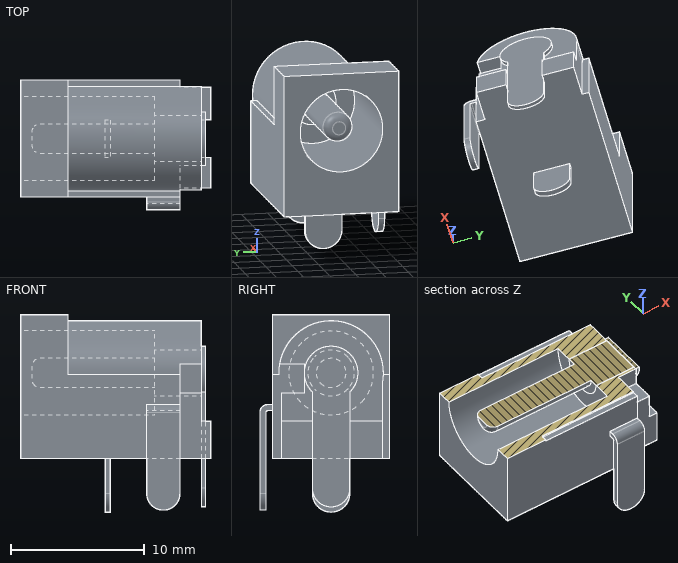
import cadquery as cq

body_width = 8.75
body_height = 10.75
flange_length = 3.55
block_end = 11.9
block_top = 6.3
barrel_diameter = 7.8
barrel_end = 13.5
axis_height = 6.4

bore_diameter = 6.3
bore_depth = 10.0

rear_side_near = -3.7
rear_side_far = 3.85
tab_end = 14.2
tab_top = 2.8
notch_bottom = 4.9
notch_top = 7.05
notch_wall = -2.0

pin_diameter = 2.2
pin_collar_diameter = 3.45
pin_tip = 0.85
pin_tip_round = 0.6

leg_width = 2.8
rear_leg_thickness = 0.3
rear_leg_bottom = -3.6
rear_disc_diameter = 4.0
middle_leg_front = 6.3
middle_leg_thickness = 0.4
middle_leg_bottom = -4.0
side_leg_width = 2.5
side_leg_thickness = 0.47
side_leg_reach = 0.95
side_leg_top = 4.05
side_leg_bottom = -3.85
side_bend_radius = 0.6


def box(x_range, y_range, z_range):
    """Box spanning the given (low, high) limits along each axis."""
    size = [high - low for low, high in (x_range, y_range, z_range)]
    corner = (x_range[0], y_range[0], z_range[0])
    return cq.Workplane("XY").box(*size, centered=False).translate(corner)


def axial_cylinder(diameter, start, end):
    """Cylinder on the jack axis between two X positions."""
    plane = cq.Workplane("YZ", origin=(start, 0, axis_height))
    return plane.circle(diameter / 2).extrude(end - start)


def round_ended_leg(front, thickness, bottom, top):
    """Flat leg across the jack, centered on Y = 0, with a full round lower end."""
    radius = leg_width / 2
    return (
        cq.Workplane("YZ", origin=(front, 0, 0))
        .moveTo(-radius, top)
        .lineTo(-radius, bottom + radius)
        .threePointArc((0, bottom), (radius, bottom + radius))
        .lineTo(radius, top)
        .close()
        .extrude(thickness)
    )


def make_housing():
    half_width = body_width / 2
    sides = (-half_width, half_width)
    rear_sides = (rear_side_near, rear_side_far)
    flange = box((0, flange_length), sides, (0, body_height))
    block = box((0, block_end), sides, (0, block_top))
    rear_section = box((block_end, barrel_end), rear_sides, (0, axis_height))
    tabs = box((barrel_end, tab_end), rear_sides, (0, tab_top))
    barrel = axial_cylinder(barrel_diameter, 0, barrel_end)

    terminal_slot = box((barrel_end, tab_end), (-leg_width / 2, leg_width / 2), (0, tab_top))
    side_notch = box((block_end, barrel_end), (-half_width, notch_wall), (notch_bottom, notch_top))
    bore = axial_cylinder(bore_diameter, 0, bore_depth)
    collar_hole = axial_cylinder(pin_collar_diameter, bore_depth, barrel_end)

    solid = flange.union(block).union(rear_section).union(tabs).union(barrel)
    return solid.cut(terminal_slot).cut(side_notch).cut(bore).cut(collar_hole)


def make_pin():
    """Contact pin: shank with a rounded tip, and a collar seated in the bore floor."""
    shank = axial_cylinder(pin_diameter, pin_tip, bore_depth).faces("<X").edges().fillet(pin_tip_round)
    collar = axial_cylinder(pin_collar_diameter, bore_depth, barrel_end)
    return shank.union(collar)


def make_rear_terminal():
    """Disc against the end of the barrel with a leg running down between the tabs."""
    disc = axial_cylinder(rear_disc_diameter, barrel_end, barrel_end + rear_leg_thickness)
    leg = round_ended_leg(barrel_end, rear_leg_thickness, rear_leg_bottom, axis_height)
    return disc.union(leg)


def make_middle_terminal():
    return round_ended_leg(middle_leg_front, middle_leg_thickness, middle_leg_bottom, 0)


def make_side_terminal():
    """Bent strip leaving the near side of the block and turning down, with a full round end."""
    root = -body_width / 2
    outer = root - side_leg_reach
    inner = outer + side_leg_thickness
    underside = side_leg_top - side_leg_thickness
    bend_center = (outer + side_bend_radius, side_leg_top - side_bend_radius)
    leg_front = block_end - side_leg_width
    strip = (
        cq.Workplane("YZ", origin=(leg_front, 0, 0))
        .moveTo(root, side_leg_top)
        .lineTo(bend_center[0], side_leg_top)
        .radiusArc((outer, bend_center[1]), -side_bend_radius)
        .lineTo(outer, side_leg_bottom)
        .lineTo(inner, side_leg_bottom)
        .lineTo(inner, bend_center[1])
        .radiusArc((bend_center[0], underside), side_bend_radius - side_leg_thickness)
        .lineTo(root, underside)
        .close()
        .extrude(side_leg_width)
    )
    radius = side_leg_width / 2
    face_outline = (
        cq.Workplane("XZ", origin=(0, root, 0))
        .moveTo(leg_front, side_leg_top)
        .lineTo(leg_front, side_leg_bottom + radius)
        .threePointArc((leg_front + radius, side_leg_bottom), (block_end, side_leg_bottom + radius))
        .lineTo(block_end, side_leg_top)
        .close()
        .extrude(side_leg_reach)
    )
    return strip.intersect(face_outline)


housing = make_housing()
pin = make_pin()
rear_terminal = make_rear_terminal()
middle_terminal = make_middle_terminal()
side_terminal = make_side_terminal()

result = cq.Compound.makeCompound(
    [housing.val(), pin.val(), rear_terminal.val(), middle_terminal.val(), side_terminal.val()]
)